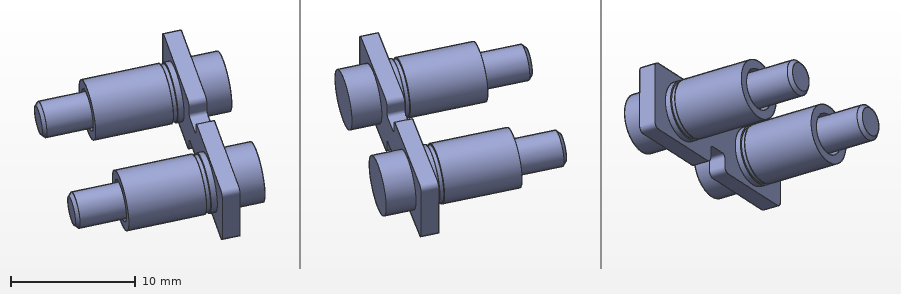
import cadquery as cq


PLATE_LENGTH = 18.0
PLATE_HEIGHT = 5.9
PLATE_THICKNESS = 1.5
WAIST_LENGTH = 2.0
WAIST_HEIGHT = 2.8
OUTER_CORNER_RADIUS = 0.5
WAIST_CORNER_RADIUS = 0.3

BARREL_RADIUS = 2.5
BARREL_REAR_LENGTH = 2.5
BARREL_FRONT_LENGTH = 7.4
BORE_RADIUS = 1.75
LOBE_LENGTH = (PLATE_LENGTH - WAIST_LENGTH) / 2
BARREL_OFFSET = (WAIST_LENGTH + LOBE_LENGTH) / 2
BARREL_CENTRES = (-BARREL_OFFSET, BARREL_OFFSET)

GROOVE_START = 0.5
GROOVE_WIDTH = 0.4
GROOVE_DEPTH = 0.1
GROOVE_SIDE_SLOPE = 0.04

PLUNGER_DIAMETER = 3.0
PLUNGER_PROTRUSION = 4.1
TIP_CHAMFER = 0.3

BARREL_BACK = PLATE_THICKNESS + BARREL_REAR_LENGTH
BARREL_FRONT = -BARREL_FRONT_LENGTH
PLUNGER_FRONT = BARREL_FRONT - PLUNGER_PROTRUSION
BORE_FLOOR = 0.0


def revolve_about_y(half_section):
    """Turn a closed (radius, y) half section into a solid around the Y axis."""
    return cq.Workplane("XY").polyline(half_section).close().revolve(360, (0, 0, 0), (0, 1, 0))


def plate_block(length, height):
    """Block as thick as the plate, with its front face at Y = 0."""
    return cq.Workplane("XZ").rect(length, height).extrude(-PLATE_THICKNESS)


def make_plate():
    """Two rounded lobes joined by a narrower waist, bored for the barrels."""
    plate = plate_block(WAIST_LENGTH, WAIST_HEIGHT)
    for x in BARREL_CENTRES:
        lobe = plate_block(LOBE_LENGTH, PLATE_HEIGHT).edges("|Y").fillet(OUTER_CORNER_RADIUS)
        plate = plate.union(lobe.translate((x, 0, 0)))

    corner_reach = WAIST_HEIGHT / 2 + WAIST_CORNER_RADIUS
    inner_corners = cq.selectors.BoxSelector(
        (-WAIST_LENGTH, 0, -corner_reach),
        (WAIST_LENGTH, PLATE_THICKNESS, corner_reach),
    )
    plate = plate.edges("|Y").edges(inner_corners).fillet(WAIST_CORNER_RADIUS)

    for x in BARREL_CENTRES:
        hole = cq.Workplane("XZ").center(x, 0).circle(BARREL_RADIUS).extrude(-PLATE_THICKNESS)
        plate = plate.cut(hole)
    return plate


def make_barrel(x):
    """Cylinder through the plate with a blind front bore and an outer groove."""
    groove_radius = BARREL_RADIUS - GROOVE_DEPTH
    groove_back = -GROOVE_START
    groove_front = groove_back - GROOVE_WIDTH
    half_section = [
        (0, BARREL_BACK),
        (BARREL_RADIUS, BARREL_BACK),
        (BARREL_RADIUS, groove_back),
        (groove_radius, groove_back - GROOVE_SIDE_SLOPE),
        (groove_radius, groove_front + GROOVE_SIDE_SLOPE),
        (BARREL_RADIUS, groove_front),
        (BARREL_RADIUS, BARREL_FRONT),
        (BORE_RADIUS, BARREL_FRONT),
        (BORE_RADIUS, BORE_FLOOR),
        (0, BORE_FLOOR),
    ]
    return revolve_about_y(half_section).translate((x, 0, 0))


def make_plunger(x):
    """Round pin with a chamfered tip, clear of the bore wall all round."""
    plunger_radius = PLUNGER_DIAMETER / 2
    half_section = [
        (0, BORE_FLOOR),
        (plunger_radius, BORE_FLOOR),
        (plunger_radius, PLUNGER_FRONT + TIP_CHAMFER),
        (plunger_radius - TIP_CHAMFER, PLUNGER_FRONT),
        (0, PLUNGER_FRONT),
    ]
    return revolve_about_y(half_section).translate((x, 0, 0))


plate = make_plate()
barrels = [make_barrel(x) for x in BARREL_CENTRES]
plungers = [make_plunger(x) for x in BARREL_CENTRES]

result = cq.Compound.makeCompound([
    plate.solids().val(),
    *[barrel.val() for barrel in barrels],
    *[plunger.val() for plunger in plungers],
])